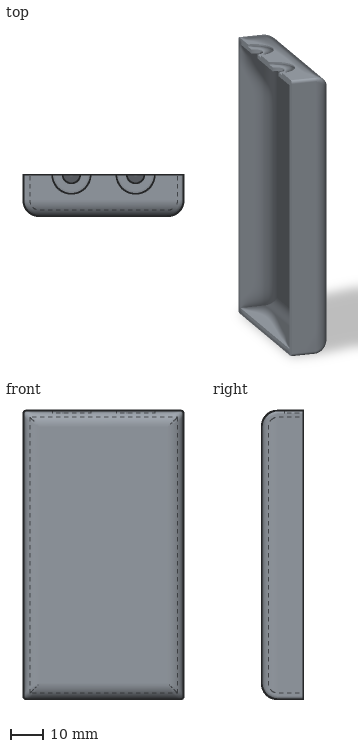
import cadquery as cq

width = 50.0
thickness = 13.0
height = 90.0

corner_radius = 1.0
front_edge_radius = 5.0

wall = 2.0
cavity_edge_radius = front_edge_radius - wall

opening_spacing = 20.0
recess_radius = 6.0
recess_depth = 0.75
hole_radius = 2.75

back_y = thickness / 2
top_z = height / 2


def cover_body():
    """Block with lightly rounded corners and a heavily rounded front rim."""
    block = cq.Workplane("XY").box(width, thickness, height)
    block = block.edges("|Y").fillet(corner_radius)
    return block.faces("<Y").edges().fillet(front_edge_radius)


def cavity():
    """Inside space, reaching the back plane and rounded along its front rim."""
    space = cq.Workplane("XY").box(width - 2 * wall, thickness - wall, height - 2 * wall)
    space = space.faces("<Y").edges().fillet(cavity_edge_radius)
    return space.translate((0, wall / 2, 0))


def half_round_cutter(x, radius, depth):
    """Cylinder sunk into the top face, with its axis on the back plane."""
    return (
        cq.Workplane("XY", origin=(x, back_y, top_z))
        .circle(radius)
        .extrude(-depth)
    )


result = cover_body().cut(cavity())
for opening_x in (-opening_spacing / 2, opening_spacing / 2):
    result = result.cut(half_round_cutter(opening_x, recess_radius, recess_depth))
    result = result.cut(half_round_cutter(opening_x, hole_radius, wall))